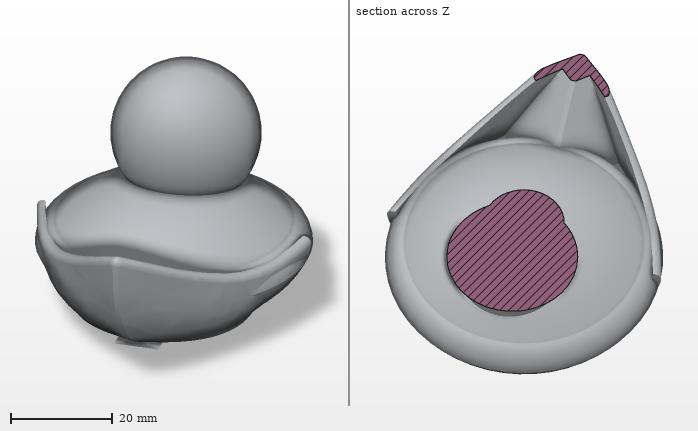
import cadquery as cq
import math

body_radius = 27.5
base_radius = 17.3
waist_height = 9.9
deck_radius = 23.7
deck_height = 14.85
dome_rise = 8.45

head_radius = 15.0
head_y = 8.5
head_z = 29.9
neck_radius = 11.2

stem_half = 0.52
waterlines = [
    (0.0, -24.55, (14.9, -16.9), 17.55),
    (3.45, -30.6, (17.85, -17.1), 21.8),
    (waist_height, -37.35, (21.1, -17.7), 27.3),
    (15.2, -40.0, (21.65, -16.6), 28.35),
    (21.4, -41.35, (21.65, -16.6), 28.35),
    (28.35, -41.7, (21.65, -16.6), 28.35),
]
wall = 1.8
rim_rounding = 1.4
sheer_points = [
    (0, 15.0),
    (-10.85, 14.2),
    (-19.15, 15.35),
    (-25.4, 18.0),
    (-31.7, 21.6),
    (-39.55, 26.9),
    (-41.9, 28.35),
]

ridge_start = (-deck_radius, deck_height)
ridge_end = (-40.1, 25.9)
floor_fall = 0.5

wedge_front = -26.7
wedge_half = 4.55
wedge_height = 1.65


def make_body():
    hull_middle = (23.8, 4.4)
    shoulder_middle = (26.5, 12.85)
    dome_radius = (deck_radius**2 + dome_rise**2) / (2 * dome_rise)
    dome_middle_r = deck_radius / 2
    drop = dome_radius - math.sqrt(dome_radius**2 - dome_middle_r**2)
    apex = deck_height + dome_rise
    return (
        cq.Workplane("XZ")
        .lineTo(base_radius, 0)
        .threePointArc(hull_middle, (body_radius, waist_height))
        .threePointArc(shoulder_middle, (deck_radius, deck_height))
        .threePointArc((dome_middle_r, apex - drop), (0, apex))
        .close()
        .revolve(360, (0, 0, 0), (0, 1, 0))
    )


def make_head():
    head = cq.Workplane("XY").sphere(head_radius).translate((0, head_y, head_z))
    neck_bottom = waist_height
    neck = (
        cq.Workplane("XY", origin=(0, head_y, neck_bottom))
        .circle(neck_radius)
        .extrude(head_z - neck_bottom)
    )
    return head.union(neck)


def waterline_loft(inset):
    """Half of the prow (x > 0) with its outer side moved inward by inset."""
    stem_shift_y = 1.4 * inset
    middle_shift_x = 0.85 * inset
    middle_shift_y = 0.55 * inset
    wires = []
    for height, stem_y, (middle_x, middle_y), aft_half in waterlines:
        if inset and height < waist_height:
            continue
        stem = (stem_half, stem_y + stem_shift_y, height)
        middle = (middle_x - middle_shift_x, middle_y + middle_shift_y, height)
        aft = (aft_half - inset, 0, height)
        side = cq.Edge.makeSpline([cq.Vector(*p) for p in (stem, middle, aft)])
        corners = [aft, (0, 0, height), (0, stem[1], height), stem]
        straight = [
            cq.Edge.makeLine(cq.Vector(*a), cq.Vector(*b))
            for a, b in zip(corners, corners[1:])
        ]
        wires.append(cq.Wire.assembleEdges([side] + straight))
    return cq.Workplane(obj=cq.Solid.makeLoft(wires))


def both_sides(half):
    return half.union(half.mirror("YZ"))


def make_cavity():
    run = ridge_start[0] - ridge_end[0]
    rise = ridge_end[1] - ridge_start[1]
    length = math.hypot(run, rise)
    overrun = 41.5
    far = body_radius
    ridge = cq.Plane(
        origin=(0, ridge_end[0], ridge_end[1]), xDir=(1, 0, 0), normal=(0, -run, rise)
    )
    above_floor = (
        cq.Workplane(ridge)
        .workplane(offset=-length - overrun)
        .moveTo(-far, -floor_fall * far)
        .lineTo(-stem_half, 0)
        .lineTo(stem_half, 0)
        .lineTo(far, -floor_fall * far)
        .lineTo(far, far)
        .lineTo(-far, far)
        .close()
        .extrude(2 * length + overrun)
    )
    return both_sides(waterline_loft(wall)).intersect(above_floor)


def make_prow():
    side_profile = (
        cq.Workplane("YZ")
        .lineTo(*sheer_points[0])
        .spline(sheer_points[1:], includeCurrent=True)
        .lineTo(sheer_points[-1][0], 0)
        .close()
        .extrude(2 * body_radius, both=True)
    )
    half = waterline_loft(0).intersect(side_profile)
    rim_front, rim_top = sheer_points[-1]
    clearance = 0.7
    outer_rim = cq.selectors.BoxSelector(
        (stem_half / 4, rim_front - clearance, deck_height),
        (body_radius, -clearance, rim_top + clearance),
    )
    half = half.edges(outer_rim).fillet(rim_rounding)
    return both_sides(half).cut(make_cavity())


def make_wedge():
    back = -base_radius / 2
    return (
        cq.Workplane("XZ", origin=(0, back, 0))
        .polyline([(-wedge_half, 0), (wedge_half, 0), (0, wedge_height)])
        .close()
        .extrude(back - wedge_front)
    )


result = make_body().union(make_head()).union(make_prow()).union(make_wedge())